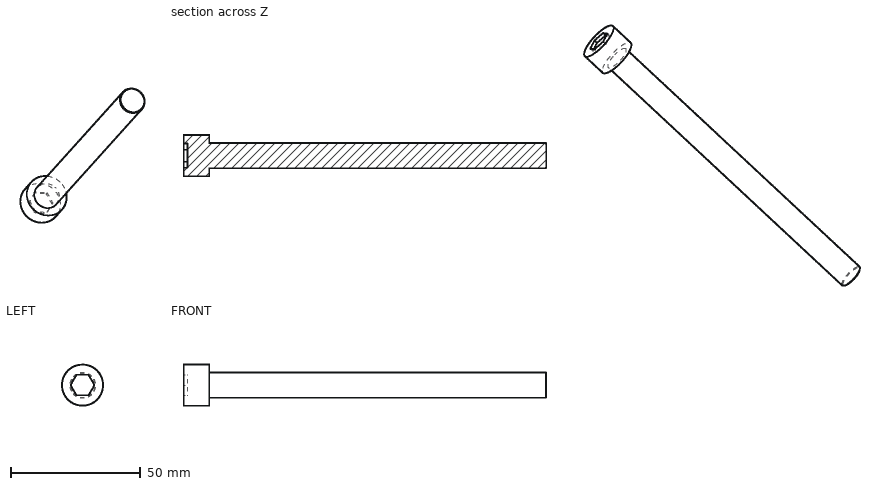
import cadquery as cq
import math

total_length = 140.0
shank_diameter = 10.0
head_diameter = 16.0
head_height = shank_diameter
tip_chamfer = 0.3
socket_across_flats = 8.0
socket_depth = 1.4

head = cq.Workplane("YZ").circle(head_diameter / 2).extrude(head_height)
shank = (
    cq.Workplane("YZ")
    .circle(shank_diameter / 2)
    .extrude(total_length)
    .faces(">X")
    .chamfer(tip_chamfer)
)

socket_across_corners = socket_across_flats / math.cos(math.pi / 6)
socket = cq.Workplane("YZ").polygon(6, socket_across_corners).extrude(socket_depth)

result = head.union(shank).cut(socket)